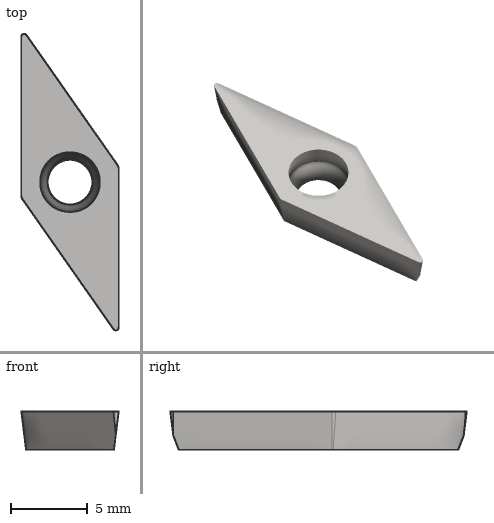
import cadquery as cq
import math

width = 6.35
thickness = 2.5
point_angle = 35.0
relief_angle = 7.0
nose_radius = 0.2
side_corner_radius = 0.42

bore_radius = 1.95
bore_depth = 1.23
seat_radius = 1.87
seat_depth = 1.31
throat_radius = 1.45
throat_depth = 2.2

relief_slope = math.tan(math.radians(relief_angle))
half_width = width / 2
half_point = math.radians(point_angle / 2)

point_y = half_width / math.tan(half_point)
blunt_y = -half_width * math.tan(half_point)


def tapered_rhombus():
    corners = [
        (-half_width, point_y),
        (-half_width, blunt_y),
        (half_width, -point_y),
        (half_width, -blunt_y),
    ]
    return cq.Workplane("XY").polyline(corners).close().extrude(-thickness, taper=relief_angle)


def corner_waste(corner_y, radius, corner_angle):
    """Material outside the cone that rounds a corner on the X = -half_width side.

    The cone narrows downwards with the side relief, so a small one ends in an apex.
    """
    outward = math.copysign(1, corner_y)
    half_angle = math.radians(corner_angle / 2)
    center_x = -half_width + radius
    center_y = corner_y - outward * radius / math.tan(half_angle)
    depth = min(thickness, radius / relief_slope)

    normal_angle = math.pi - outward * (math.pi - 2 * half_angle)
    to_corner = math.hypot(radius, corner_y - center_y)
    reach = 2 * to_corner
    kite = [
        (center_x, center_y),
        (center_x - reach, center_y),
        (center_x - reach, center_y + outward * reach),
        (center_x + reach * math.cos(normal_angle), center_y + reach * math.sin(normal_angle)),
    ]
    block = cq.Workplane("XY").polyline(kite).close().extrude(-depth)
    cone = cq.Solid.makeCone(
        radius,
        max(0, radius - depth * relief_slope),
        depth,
        cq.Vector(center_x, center_y, 0),
        cq.Vector(0, 0, -1),
    )
    return block.cut(cq.Workplane(cone))


def screw_hole():
    """Bore, short conical step, and convex seat running tangent into the throat."""
    seat_drop = throat_depth - seat_depth
    seat_step = seat_radius - throat_radius
    arc_radius = (seat_drop**2 + seat_step**2) / (2 * seat_step)
    half_sweep = math.asin(seat_drop / arc_radius) / 2
    arc_middle = (
        throat_radius + arc_radius * (1 - math.cos(half_sweep)),
        -throat_depth + arc_radius * math.sin(half_sweep),
    )
    return (
        cq.Workplane("XZ")
        .lineTo(bore_radius, 0)
        .lineTo(bore_radius, -bore_depth)
        .lineTo(seat_radius, -seat_depth)
        .threePointArc(arc_middle, (throat_radius, -throat_depth))
        .lineTo(throat_radius, -thickness)
        .lineTo(0, -thickness)
        .close()
        .revolve(360, (0, 0, 0), (0, 1, 0))
    )


body = tapered_rhombus()
for waste in (
    corner_waste(point_y, nose_radius, point_angle),
    corner_waste(blunt_y, side_corner_radius, 180 - point_angle),
):
    body = body.cut(waste)
    body = body.cut(waste.rotate((0, 0, 0), (0, 0, 1), 180))

result = body.cut(screw_hole())